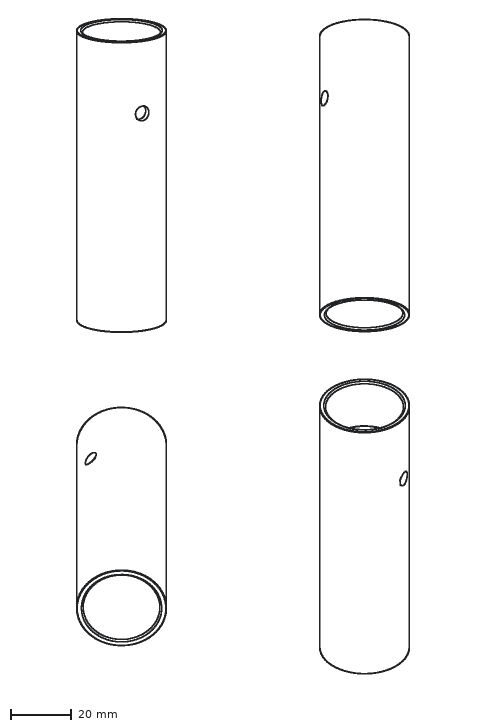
import cadquery as cq

length = 100.0
outer_diameter = 29.9
bore_diameter = 25.5
outer_chamfer = 0.2
mouth_chamfer = 0.6

socket_diameter = 25.9
socket_depth = 18.0

hole_diameter = 5.0
hole_height = 75.0

outer_radius = outer_diameter / 2
bore_radius = bore_diameter / 2
socket_radius = socket_diameter / 2
socket_floor = length - socket_depth

wall_profile = (
    cq.Workplane("XZ")
    .moveTo(bore_radius, mouth_chamfer)
    .lineTo(bore_radius + mouth_chamfer, 0)
    .lineTo(outer_radius - outer_chamfer, 0)
    .lineTo(outer_radius, outer_chamfer)
    .lineTo(outer_radius, length - outer_chamfer)
    .lineTo(outer_radius - outer_chamfer, length)
    .lineTo(socket_radius + mouth_chamfer, length)
    .lineTo(socket_radius, length - mouth_chamfer)
    .lineTo(socket_radius, socket_floor)
    .lineTo(bore_radius, socket_floor)
    .close()
)
tube = wall_profile.revolve(360, (0, 0, 0), (0, 1, 0))

cross_hole = (
    cq.Workplane("YZ")
    .center(0, hole_height)
    .circle(hole_diameter / 2)
    .extrude(outer_diameter, both=True)
)

result = tube.cut(cross_hole)